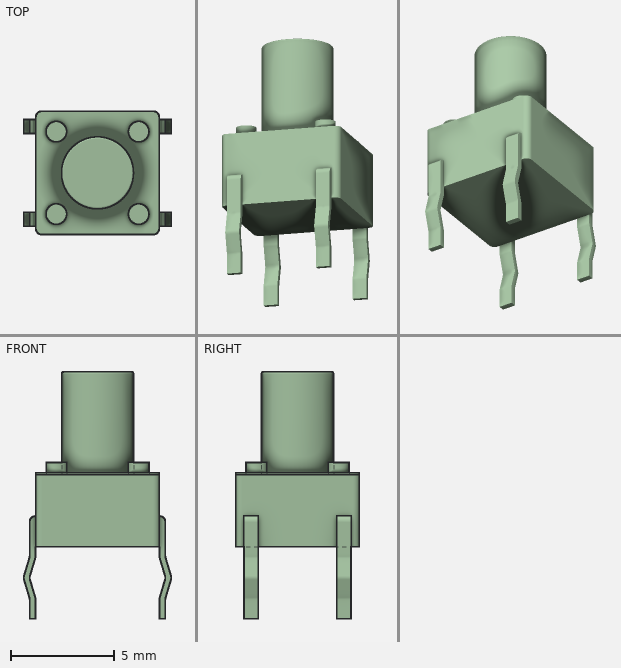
import cadquery as cq

housing_width = 6.0
housing_height = 3.5
corner_radius = 0.3
plunger_diameter = 3.5
plunger_top = 8.5
plunger_edge_radius = 0.1

cover_thickness = 0.1

peg_diameter = 1.0
peg_spacing = 4.0
peg_rise = 0.5
peg_length = cover_thickness + peg_rise

lead_thickness = 0.3
lead_width = 0.7
lead_spacing = 4.5
lead_top = 1.5
lead_bottom = -3.5
lead_inner_x = housing_width / 2
lead_outer_x = lead_inner_x + lead_thickness
kink_depth = 0.3
kink_half_height = 1.0
kink_center = -1.5
kink_top = kink_center + kink_half_height
kink_bottom = kink_center - kink_half_height
bend_radius = 0.3


def rounded_block(base_z, height):
    """Square block with rounded upright corners."""
    block = cq.Workplane("XY").workplane(offset=base_z)
    block = block.rect(housing_width, housing_width).extrude(height)
    return block.edges("|Z").fillet(corner_radius)


def make_plunger():
    """Round push button with a rounded top edge, rising from the top of the housing."""
    plunger = cq.Workplane("XY").workplane(offset=housing_height)
    plunger = plunger.circle(plunger_diameter / 2).extrude(plunger_top - housing_height)
    return plunger.faces(">Z").edges().fillet(plunger_edge_radius)


def make_housing(plunger):
    return rounded_block(0, housing_height).union(plunger)


def make_pegs():
    """Four separate round pegs, one near each corner."""
    pegs = cq.Workplane("XY")
    for x in (-peg_spacing / 2, peg_spacing / 2):
        for y in (-peg_spacing / 2, peg_spacing / 2):
            peg = cq.Workplane("XY", origin=(x, y, housing_height))
            pegs = pegs.add(peg.circle(peg_diameter / 2).extrude(peg_length))
    return pegs


def make_cover(plunger, pegs):
    """Thin plate with matching holes for the plunger and the pegs."""
    cover = rounded_block(housing_height, cover_thickness).cut(plunger)
    for peg in pegs.vals():
        cover = cover.cut(cq.Workplane(peg))
    return cover


def make_lead():
    """Lead on the +X side, centred on Y = 0, kinked outward below the housing."""
    lead = (
        cq.Workplane("XZ")
        .moveTo(lead_inner_x, lead_top)
        .radiusArc((lead_outer_x, lead_top - lead_thickness), lead_thickness)
        .lineTo(lead_outer_x, kink_top)
        .lineTo(lead_outer_x + kink_depth, kink_center)
        .lineTo(lead_outer_x, kink_bottom)
        .lineTo(lead_outer_x, lead_bottom)
        .lineTo(lead_inner_x, lead_bottom)
        .lineTo(lead_inner_x, kink_bottom)
        .lineTo(lead_inner_x + kink_depth, kink_center)
        .lineTo(lead_inner_x, kink_top)
        .close()
        .extrude(lead_width / 2, both=True)
    )
    kink_zone = cq.selectors.BoxSelector(
        (0, -lead_width, kink_bottom - bend_radius),
        (2 * lead_outer_x, lead_width, kink_top + bend_radius),
    )
    return lead.edges("|Y").edges(kink_zone).fillet(bend_radius)


def make_leads():
    """Two leads on each X side of the housing."""
    right_lead = make_lead()
    left_lead = right_lead.mirror("YZ")
    leads = cq.Workplane("XY")
    for lead in (right_lead, left_lead):
        for y in (-lead_spacing / 2, lead_spacing / 2):
            leads = leads.add(lead.translate((0, y, 0)))
    return leads


plunger = make_plunger()
housing = make_housing(plunger)
pegs = make_pegs()
cover = make_cover(plunger, pegs)
leads = make_leads()

result = cq.Compound.makeCompound([housing.val(), cover.val(), *pegs.vals(), *leads.vals()])